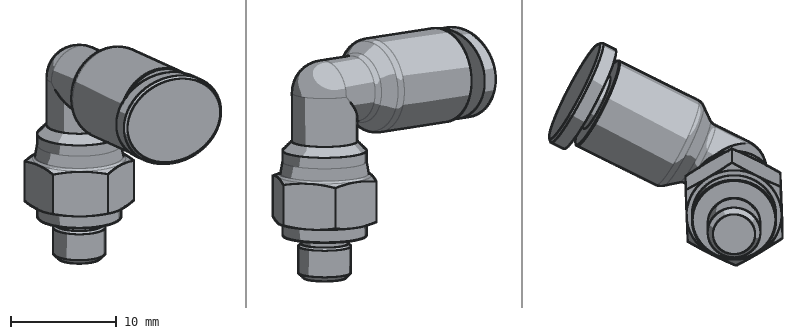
import cadquery as cq
import math


ELBOW_RADIUS = 3.11

SHOULDER_TOP_Z = -4.65
FLARE_TOP_Z = -6.6
HEX_TOP_Z = -7.97
HEX_BOTTOM_Z = -12.4
SEAT_Z = -13.75
THREAD_TOP_Z = -14.5
STEM_END_Z = -17.8

COLLAR_RADIUS = 4.0
FLARE_RADIUS = 4.2
THREAD_RELIEF_RADIUS = 2.22
THREAD_RADIUS = 2.5

SEAT_CHAMFER = 0.08
THREAD_TOP_CHAMFER = 0.25
THREAD_END_CHAMFER = 0.5

FLARE_FOOT_FILLET = 0.22

HEX_ACROSS_FLATS = 9.0
HEX_CHAMFER_ANGLE = math.radians(20)

SOCKET_RADIUS = 4.5
BLEND_START_X = 3.65
BLEND_RADIUS = 1.0
BLEND_ANGLE = math.radians(38)
SOCKET_END_X = 14.68
SOCKET_END_CHAMFER = 0.08

SLEEVE_RADIUS = 2.75
RING_START_X = 15.47
RING_END_X = 17.1
RING_HALF_WIDTH = 5.41
RING_HALF_HEIGHT = 4.3
RING_CHAMFER = 0.25


def make_stem():
    """Turned stem from the elbow axis down to the end of the thread."""
    shoulder_bottom_z = SHOULDER_TOP_Z - (COLLAR_RADIUS - ELBOW_RADIUS)
    thread_end_radius = THREAD_RADIUS - THREAD_END_CHAMFER
    flare_bottom_z = HEX_TOP_Z + FLARE_FOOT_FILLET
    foot_radius = FLARE_RADIUS + FLARE_FOOT_FILLET
    fillet_sagitta = FLARE_FOOT_FILLET * (1 - math.sqrt(0.5))
    upper_profile = [
        (ELBOW_RADIUS, 0),
        (ELBOW_RADIUS, SHOULDER_TOP_Z),
        (COLLAR_RADIUS, shoulder_bottom_z),
        (COLLAR_RADIUS, FLARE_TOP_Z),
        (FLARE_RADIUS, flare_bottom_z),
    ]
    lower_profile = [
        (COLLAR_RADIUS, HEX_TOP_Z),
        (COLLAR_RADIUS, SEAT_Z + SEAT_CHAMFER),
        (COLLAR_RADIUS - SEAT_CHAMFER, SEAT_Z),
        (THREAD_RELIEF_RADIUS, SEAT_Z),
        (THREAD_RELIEF_RADIUS, THREAD_TOP_Z),
        (THREAD_RADIUS - THREAD_TOP_CHAMFER, THREAD_TOP_Z),
        (THREAD_RADIUS, THREAD_TOP_Z - THREAD_TOP_CHAMFER),
        (THREAD_RADIUS, STEM_END_Z + THREAD_END_CHAMFER),
        (thread_end_radius, STEM_END_Z),
        (0, STEM_END_Z),
    ]
    return (
        cq.Workplane("XZ")
        .polyline(upper_profile, includeCurrent=True)
        .threePointArc(
            (FLARE_RADIUS + fillet_sagitta, HEX_TOP_Z + fillet_sagitta),
            (foot_radius, HEX_TOP_Z),
        )
        .polyline(lower_profile, includeCurrent=True)
        .close()
        .revolve(360, (0, 0), (0, 1))
    )


def make_hexagon():
    """Wrench hexagon, corners along X, with conical chamfers at both ends."""
    flat_radius = HEX_ACROSS_FLATS / 2
    corner_radius = flat_radius / math.cos(math.pi / 6)
    top_radius = FLARE_RADIUS + FLARE_FOOT_FILLET
    top_drop = (corner_radius - top_radius) * math.tan(HEX_CHAMFER_ANGLE)
    bottom_drop = (corner_radius - flat_radius) * math.tan(HEX_CHAMFER_ANGLE)
    prism = (
        cq.Workplane("XY", origin=(0, 0, HEX_BOTTOM_Z))
        .polygon(6, 2 * corner_radius)
        .extrude(HEX_TOP_Z - HEX_BOTTOM_Z)
    )
    envelope_profile = [
        (0, HEX_TOP_Z),
        (top_radius, HEX_TOP_Z),
        (corner_radius, HEX_TOP_Z - top_drop),
        (corner_radius, HEX_BOTTOM_Z + bottom_drop),
        (flat_radius, HEX_BOTTOM_Z),
        (0, HEX_BOTTOM_Z),
    ]
    envelope = cq.Workplane("XZ").polyline(envelope_profile).close().revolve(360, (0, 0), (0, 1))
    return prism.intersect(envelope)


def make_socket():
    """Elbow arm that swells through two tangent arcs into the tube socket."""
    arc_length_x = BLEND_RADIUS * math.sin(BLEND_ANGLE)
    arc_rise = BLEND_RADIUS * (1 - math.cos(BLEND_ANGLE))
    half_length_x = BLEND_RADIUS * math.sin(BLEND_ANGLE / 2)
    half_rise = BLEND_RADIUS * (1 - math.cos(BLEND_ANGLE / 2))
    cone_rise = SOCKET_RADIUS - ELBOW_RADIUS - 2 * arc_rise
    cone_length = cone_rise / math.tan(BLEND_ANGLE)
    blend_end_x = BLEND_START_X + 2 * arc_length_x + cone_length
    return (
        cq.Workplane("XZ")
        .lineTo(0, ELBOW_RADIUS)
        .lineTo(BLEND_START_X, ELBOW_RADIUS)
        .threePointArc(
            (BLEND_START_X + half_length_x, ELBOW_RADIUS + half_rise),
            (BLEND_START_X + arc_length_x, ELBOW_RADIUS + arc_rise),
        )
        .lineTo(blend_end_x - arc_length_x, SOCKET_RADIUS - arc_rise)
        .threePointArc(
            (blend_end_x - half_length_x, SOCKET_RADIUS - half_rise),
            (blend_end_x, SOCKET_RADIUS),
        )
        .lineTo(SOCKET_END_X - SOCKET_END_CHAMFER, SOCKET_RADIUS)
        .lineTo(SOCKET_END_X, SOCKET_RADIUS - SOCKET_END_CHAMFER)
        .lineTo(SOCKET_END_X, 0)
        .close()
        .revolve(360, (0, 0), (1, 0))
    )


def make_release_ring():
    """Round sleeve leaving the socket, capped by an oval flange."""
    sleeve = (
        cq.Workplane("YZ", origin=(SOCKET_END_X, 0, 0))
        .circle(SLEEVE_RADIUS)
        .extrude(RING_START_X - SOCKET_END_X)
    )
    flange = (
        cq.Workplane("YZ", origin=(RING_START_X, 0, 0))
        .ellipse(RING_HALF_WIDTH, RING_HALF_HEIGHT)
        .extrude(RING_END_X - RING_START_X)
        .faces(">X")
        .chamfer(RING_CHAMFER)
    )
    return sleeve.union(flange)


elbow_ball = cq.Workplane("XY").sphere(ELBOW_RADIUS)
result = (
    make_stem()
    .union(elbow_ball)
    .union(make_socket())
    .union(make_hexagon())
    .union(make_release_ring())
)